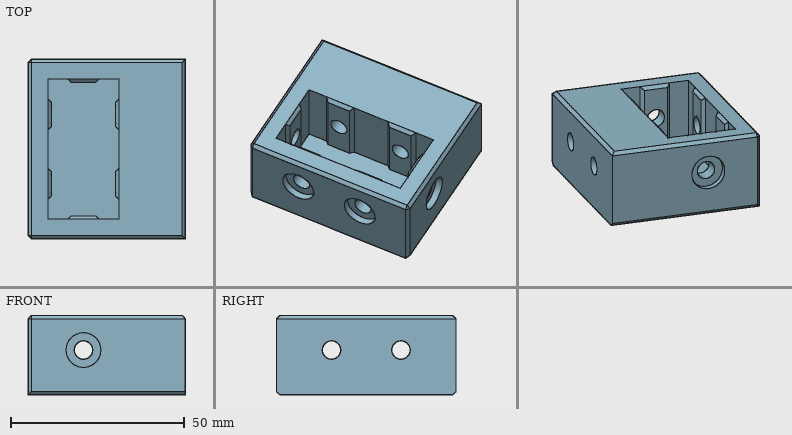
import cadquery as cq

length_x = 45.3
length_y = 51.8
height = 22.9
edge_chamfer = 1.0

pocket_x = 20.5
pocket_y = 40.4
wall = (length_y - pocket_y) / 2
floor_thickness = 3.0
pocket_center_x = wall + pocket_x / 2
pocket_depth = height - floor_thickness

pad_width = 9.0
pad_thickness = 1.0

hole_diameter = 5.25
counterbore_diameter = 10.0
counterbore_depth = 2.0
hole_spacing = 20.0
hole_z = height - hole_spacing / 2
side_hole_positions = (-hole_spacing / 2, hole_spacing / 2)


def make_block():
    """Box with all edges chamfered except those around the right face and the left base edge."""
    block = cq.Workplane("XY").box(length_x, length_y, height, centered=(False, True, False))
    top_edges = block.edges(">Z")
    left_vertical_edges = block.edges("|Z and <X")
    base_side_edges = block.edges("|X and <Z")
    return block.newObject(
        top_edges.vals() + left_vertical_edges.vals() + base_side_edges.vals()
    ).chamfer(edge_chamfer)


def make_pocket():
    """Rectangular pocket volume, open at the top."""
    return (
        cq.Workplane("XY", origin=(pocket_center_x, 0, floor_thickness))
        .rect(pocket_x, pocket_y)
        .extrude(pocket_depth)
    )


def make_pad(wall_x, wall_y, angle):
    """Pad on a pocket wall with sloped sides and top; angle turns its inward direction from +X."""
    half_width = pad_width / 2
    face_half_width = half_width - pad_thickness
    plan = (
        cq.Workplane("XY")
        .moveTo(0, -half_width)
        .lineTo(pad_thickness, -face_half_width)
        .lineTo(pad_thickness, face_half_width)
        .lineTo(0, half_width)
        .close()
        .extrude(pocket_depth)
    )
    side_profile = (
        cq.Workplane("XZ")
        .lineTo(pad_thickness, 0)
        .lineTo(pad_thickness, pocket_depth - pad_thickness)
        .lineTo(0, pocket_depth)
        .close()
        .extrude(half_width, both=True)
    )
    pad = plan.intersect(side_profile)
    return pad.rotate((0, 0, 0), (0, 0, 1), angle).translate((wall_x, wall_y, floor_thickness))


def make_cylinder(plane, origin, diameter, depth):
    """Round cutter running along the normal of the plane."""
    return cq.Workplane(plane, origin=origin).circle(diameter / 2).extrude(depth)


result = make_block().cut(make_pocket())

for y in side_hole_positions:
    result = result.union(make_pad(wall, y, 0))
    result = result.union(make_pad(wall + pocket_x, y, 180))
result = result.union(make_pad(pocket_center_x, -pocket_y / 2, 90))
result = result.union(make_pad(pocket_center_x, pocket_y / 2, -90))

for y in side_hole_positions:
    left_center = (0, y, hole_z)
    result = result.cut(make_cylinder("YZ", left_center, hole_diameter, length_x))
    result = result.cut(make_cylinder("YZ", left_center, counterbore_diameter, counterbore_depth))

front_center = (pocket_center_x, -length_y / 2, hole_z)
back_center = (pocket_center_x, length_y / 2, hole_z)
result = result.cut(make_cylinder("XZ", front_center, hole_diameter, -length_y))
result = result.cut(make_cylinder("XZ", front_center, counterbore_diameter, -counterbore_depth))
result = result.cut(make_cylinder("XZ", back_center, counterbore_diameter, counterbore_depth))